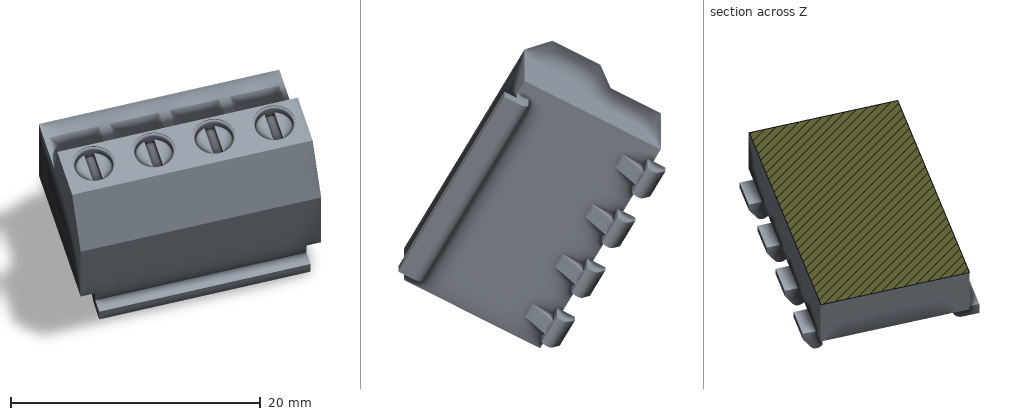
import cadquery as cq
import math


pole_count = 4
pole_pitch = 5.0
row_length = pole_count * pole_pitch

housing_width = 12.45
housing_height = 10.5
shelf_height = 7.0
shelf_width = 4.58
riser_lean = math.radians(15)
chamfer_start_height = 6.1
chamfer_slope = math.radians(60)

funnel_start_x = 1.52
funnel_width = 2.65
funnel_length = 4.12
funnel_depth = 0.95
funnel_inset = 1.0

screw_x = 7.42
bore_mouth_diameter = 3.45
bore_mouth_step = 0.08
bore_mouth_round = 0.18
bore_diameter = bore_mouth_diameter - 2 * bore_mouth_round
head_face_diameter = 2.7
head_round = (bore_diameter - head_face_diameter) / 2
head_sink = 0.55
slot_width = 0.82
slot_depth = 0.6

foot_drop = 2.0
feet_span = 17.55
hook_length = 2.55
hook_overhang = 1.12
hook_back_x = 0.55
hook_lip_height = 0.65
hook_nose_x = 0.05
hook_nose_radius = 0.55
brace_length = hook_length / 2
brace_end_x = 2.45
brace_drop = 1.45
rail_thickness = 1.05
rail_reach = 1.18
rail_bend_radius = 1.7 / 2


def pole_positions(first_to_last):
    """Evenly spaced centres along Y for one row of features."""
    step = first_to_last / (pole_count - 1)
    return [-first_to_last / 2 + i * step for i in range(pole_count)]


def extrude_along_row(profile, length, center_y=0.0):
    """Extrude a closed XZ profile symmetrically about center_y."""
    return profile.extrude(length / 2, both=True).translate((0, center_y, 0))


def make_housing():
    riser_run = (housing_height - shelf_height) * math.tan(riser_lean)
    chamfer_run = (housing_height - chamfer_start_height) / math.tan(chamfer_slope)
    profile = (
        cq.Workplane("XZ")
        .moveTo(0, 0)
        .lineTo(housing_width, 0)
        .lineTo(housing_width, chamfer_start_height)
        .lineTo(housing_width - chamfer_run, housing_height)
        .lineTo(shelf_width + riser_run, housing_height)
        .lineTo(shelf_width, shelf_height)
        .lineTo(0, shelf_height)
        .close()
    )
    return extrude_along_row(profile, row_length)


def make_funnel(center_y):
    """Wire funnel: three sloping sides and one upright side next to the riser."""
    floor_width = funnel_width - funnel_inset
    floor_length = funnel_length - 2 * funnel_inset
    end_x = funnel_start_x + funnel_width
    return (
        cq.Workplane("XY", origin=(end_x, center_y, shelf_height))
        .center(-funnel_width / 2, 0)
        .rect(funnel_width, funnel_length)
        .workplane(offset=-funnel_depth)
        .center((funnel_width - floor_width) / 2, 0)
        .rect(floor_width, floor_length)
        .loft(ruled=True)
    )


def make_screw_recess(center_y):
    """Space above a screw: bore with a stepped, rounded mouth, rounded head edge and driver slot."""
    bore_radius = bore_diameter / 2
    face_radius = head_face_diameter / 2
    face_z = -head_sink
    arc_offset = math.sqrt(0.5)
    mouth_mid = (
        bore_radius + bore_mouth_round * (1 - arc_offset),
        -bore_mouth_step - bore_mouth_round * (1 - arc_offset),
    )
    head_mid = (
        face_radius + head_round * arc_offset,
        face_z - head_round * (1 - arc_offset),
    )
    recess = (
        cq.Workplane("XZ")
        .moveTo(0, 0)
        .lineTo(bore_mouth_diameter / 2, 0)
        .lineTo(bore_mouth_diameter / 2, -bore_mouth_step)
        .threePointArc(mouth_mid, (bore_radius, -bore_mouth_step - bore_mouth_round))
        .lineTo(bore_radius, face_z - head_round)
        .threePointArc(head_mid, (face_radius, face_z))
        .lineTo(0, face_z)
        .close()
        .revolve(360, (0, 0), (0, 1))
    )
    slot_height = head_sink + slot_depth
    slot = (
        cq.Workplane("XY")
        .circle(bore_radius)
        .extrude(-slot_height)
        .intersect(cq.Workplane("XY").box(bore_diameter, slot_width, 2 * slot_height))
    )
    return recess.union(slot).translate((screw_x, center_y, housing_height))


def make_hook(center_y):
    """Snap hook with a rounded nose, and the narrower brace behind it."""
    nose_z = hook_nose_radius - foot_drop
    run = hook_nose_x + hook_overhang
    fall = -hook_lip_height - nose_z
    flank_slope = math.atan2(fall, run) + math.asin(hook_nose_radius / math.hypot(run, fall))
    nose_end_z = nose_z - math.sqrt(hook_nose_radius**2 - (hook_back_x - hook_nose_x) ** 2)
    tangent_point = (
        hook_nose_x - hook_nose_radius * math.sin(flank_slope),
        nose_z - hook_nose_radius * math.cos(flank_slope),
    )
    hook = (
        cq.Workplane("XZ")
        .moveTo(-hook_overhang, 0)
        .lineTo(-hook_overhang, -hook_lip_height)
        .lineTo(*tangent_point)
        .threePointArc((hook_nose_x, -foot_drop), (hook_back_x, nose_end_z))
        .lineTo(hook_back_x, 0)
        .close()
    )
    brace = (
        cq.Workplane("XZ")
        .moveTo(hook_back_x, 0)
        .lineTo(brace_end_x, 0)
        .lineTo(hook_back_x, -brace_drop)
        .close()
    )
    return extrude_along_row(hook, hook_length, center_y).union(
        extrude_along_row(brace, brace_length, center_y)
    )


def make_rail():
    """L-shaped rail along the far side, rounded on the outside of its bend."""
    inner_x = housing_width - rail_thickness
    bend_center = (inner_x + rail_bend_radius, rail_bend_radius - foot_drop)
    bend_mid = tuple(c - rail_bend_radius * math.sqrt(0.5) for c in bend_center)
    profile = (
        cq.Workplane("XZ")
        .moveTo(inner_x, 0)
        .lineTo(inner_x, bend_center[1])
        .threePointArc(bend_mid, (bend_center[0], -foot_drop))
        .lineTo(housing_width + rail_reach, -foot_drop)
        .lineTo(housing_width + rail_reach, rail_thickness - foot_drop)
        .lineTo(housing_width, rail_thickness - foot_drop)
        .lineTo(housing_width, 0)
        .close()
    )
    return extrude_along_row(profile, feet_span)


result = make_housing().union(make_rail())

for pole_y in pole_positions(row_length - pole_pitch):
    result = result.cut(make_funnel(pole_y))
    result = result.cut(make_screw_recess(pole_y))

for hook_y in pole_positions(feet_span - hook_length):
    result = result.union(make_hook(hook_y))